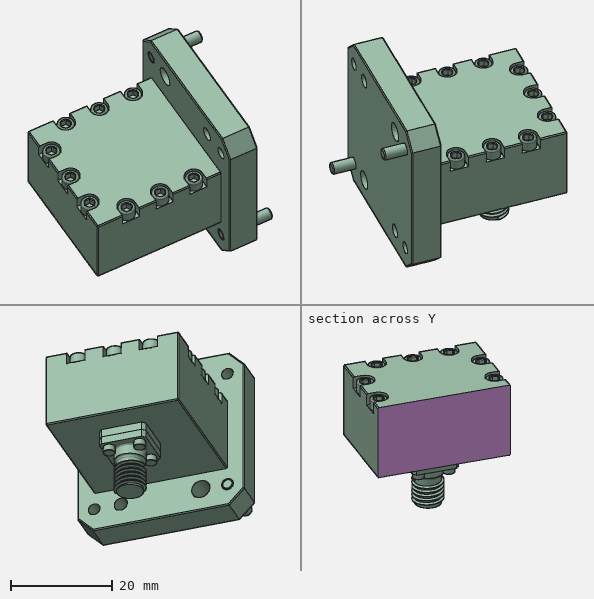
import cadquery as cq
import math


FLANGE_SIZE = 35.0
FLANGE_THICKNESS = 6.33
FLANGE_CORNER = 3.2
EDGE_BREAK = 0.25

HOLE_HEIGHT = 12.7
OUTER_HOLE_X = 13.98
INNER_HOLE_X = 8.4
LARGE_HOLE_DIAMETER = 3.83
MEDIUM_HOLE_DIAMETER = 2.75
PIN_DIAMETER = 2.42

PIN_LENGTH = 11.1
PIN_CHAMFER = 0.25

BLOCK_WIDTH = 27.95
BLOCK_LENGTH = 27.95
BLOCK_TOP = 6.6
BLOCK_BOTTOM = -9.1

SLOT_WIDTH = 3.83
SLOT_DEPTH = 2.5
SLOT_INSET = 1.8
SCREW_SPACING = 7.6
SIDE_ROW_CENTRE = 12.73
CAP_DIAMETER = 3.45
CAP_RECESS = 0.3
CAP_FILLET = 0.25
HEX_ACROSS_FLATS = 1.87
HEX_DEPTH = 1.55
SOCKET_MOUTH_DIAMETER = 2.25

CONNECTOR_Y = -17.57
PLATE_SIZE = 9.7
PLATE_CHAMFER = 0.65
PAD_HEIGHT = 1.68
PLATE_THICKNESS = 1.6
COLLAR_DIAMETER = 6.4
COLLAR_LENGTH = 2.23
COLLAR_ROOT_FILLET = 0.2
BARREL_DIAMETER = 5.4
CONNECTOR_BOTTOM = -21.48

THREAD_DIAMETER = COLLAR_DIAMETER
THREAD_PITCH = 0.918
THREAD_TURNS = 5.5
THREAD_END_GAP = 0.35
THREAD_ROOT_WIDTH = 0.7
THREAD_CREST_WIDTH = 0.1
THREAD_EMBED = 0.1

PLATE_SCREW_OFFSET = 3.2
PLATE_SCREW_DIAMETER = 2.4
PLATE_SCREW_HEIGHT = 1.4
PLATE_SCREW_CHAMFER = 0.08

PLATE_TOP = BLOCK_BOTTOM - PAD_HEIGHT
PLATE_BOTTOM = PLATE_TOP - PLATE_THICKNESS


def y_cylinder(x, z, diameter, length):
    """Cylinder running in +Y from the flange's front face."""
    return (
        cq.Workplane("XZ", origin=(x, 0, z))
        .circle(diameter / 2)
        .extrude(-length)
    )


def z_cylinder(x, y, diameter, bottom, top):
    return (
        cq.Workplane("XY", origin=(x, y, bottom))
        .circle(diameter / 2)
        .extrude(top - bottom)
    )


def make_flange():
    flange = (
        cq.Workplane("XZ")
        .rect(FLANGE_SIZE, FLANGE_SIZE)
        .extrude(-FLANGE_THICKNESS)
        .edges("|Y").chamfer(FLANGE_CORNER)
        .faces("<Y or >Y").chamfer(EDGE_BREAK)
    )
    for side in (1, -1):
        holes = [
            (-OUTER_HOLE_X, PIN_DIAMETER),
            (-INNER_HOLE_X, LARGE_HOLE_DIAMETER),
            (INNER_HOLE_X, MEDIUM_HOLE_DIAMETER),
            (OUTER_HOLE_X, PIN_DIAMETER),
        ]
        for x, diameter in holes:
            flange = flange.cut(y_cylinder(side * x, side * HOLE_HEIGHT, diameter, FLANGE_THICKNESS))
    return flange


def make_block():
    return (
        cq.Workplane("XY", origin=(0, -BLOCK_LENGTH / 2, BLOCK_BOTTOM))
        .box(BLOCK_WIDTH, BLOCK_LENGTH, BLOCK_TOP - BLOCK_BOTTOM, centered=(True, True, False))
        .edges("not >Y").chamfer(EDGE_BREAK)
    )


def cap_screw_places():
    """(x, y, turn) of each cap screw, with turn pointing its slot at the nearest block edge."""
    side_x = BLOCK_WIDTH / 2 - SLOT_INSET
    front_y = SLOT_INSET - BLOCK_LENGTH
    places = []
    for step in (-1, 0, 1):
        shift = step * SCREW_SPACING
        places.append((side_x, shift - SIDE_ROW_CENTRE, 0))
        places.append((-side_x, shift - SIDE_ROW_CENTRE, 180))
        places.append((shift, front_y, -90))
    return places


def make_screw_slot():
    """U-shaped slot tool, round about the Z axis and open towards +X."""
    floor = BLOCK_TOP - SLOT_DEPTH
    open_side = (
        cq.Workplane("XY", origin=(0, 0, floor))
        .box(2 * SLOT_INSET, SLOT_WIDTH, SLOT_DEPTH, centered=(False, True, False))
    )
    return z_cylinder(0, 0, SLOT_WIDTH, floor, BLOCK_TOP).union(open_side)


def make_cap_screw():
    """Socket head standing on the slot floor, with a conical mouth leading into its hexagon."""
    top = BLOCK_TOP - CAP_RECESS
    head = z_cylinder(0, 0, CAP_DIAMETER, BLOCK_TOP - SLOT_DEPTH, top).faces(">Z").edges().fillet(CAP_FILLET)
    socket = (
        cq.Workplane("XY", origin=(0, 0, top))
        .polygon(6, HEX_ACROSS_FLATS / math.cos(math.pi / 6))
        .extrude(-HEX_DEPTH)
        .rotate((0, 0, 0), (0, 0, 1), 90)
    )
    mouth_radius = SOCKET_MOUTH_DIAMETER / 2
    mouth = cq.Workplane(cq.Solid.makeCone(mouth_radius, 0, mouth_radius, (0, 0, top), (0, 0, -1)))
    return head.cut(socket).cut(mouth)


def make_plate(bottom, top):
    """Square plate with chamfered corners, shared by the housing pad and the connector."""
    return (
        cq.Workplane("XY", origin=(0, CONNECTOR_Y, bottom))
        .rect(PLATE_SIZE, PLATE_SIZE)
        .extrude(top - bottom)
        .edges("|Z").chamfer(PLATE_CHAMFER)
    )


def make_housing():
    housing = make_flange().union(make_block()).union(make_plate(PLATE_TOP, BLOCK_BOTTOM))
    slot = make_screw_slot()
    screw = make_cap_screw()
    for x, y, turn in cap_screw_places():
        housing = housing.cut(slot.rotate((0, 0, 0), (0, 0, 1), turn).translate((x, y, 0)))
        housing = housing.union(screw.translate((x, y, 0)))
    return housing


def make_pin(side):
    return (
        y_cylinder(-side * OUTER_HOLE_X, side * HOLE_HEIGHT, PIN_DIAMETER, PIN_LENGTH)
        .edges("%CIRCLE").chamfer(PIN_CHAMFER)
    )


def make_thread():
    """Right-hand ridge about the Z axis that ends on the -X side just above the barrel's end."""
    height = THREAD_TURNS * THREAD_PITCH
    inner = BARREL_DIAMETER / 2 - THREAD_EMBED
    outer = THREAD_DIAMETER / 2
    path = cq.Workplane(cq.Wire.makeHelix(THREAD_PITCH, height, BARREL_DIAMETER / 2))
    ridge = (
        cq.Workplane("XZ")
        .moveTo(inner, -THREAD_ROOT_WIDTH / 2)
        .lineTo(outer, -THREAD_CREST_WIDTH / 2)
        .lineTo(outer, THREAD_CREST_WIDTH / 2)
        .lineTo(inner, THREAD_ROOT_WIDTH / 2)
        .close()
        .sweep(path, isFrenet=True)
    )
    return ridge.rotate((0, 0, 0), (0, 0, 1), 180).translate((0, 0, CONNECTOR_BOTTOM + THREAD_END_GAP))


def make_connector():
    """Plate, collar with a filleted root, concave shoulder and threaded barrel in one piece."""
    collar_bottom = PLATE_BOTTOM - COLLAR_LENGTH
    collar_radius = COLLAR_DIAMETER / 2
    barrel_radius = BARREL_DIAMETER / 2
    shoulder = collar_radius - barrel_radius
    core = (
        cq.Workplane("XZ")
        .moveTo(0, PLATE_BOTTOM)
        .lineTo(collar_radius + COLLAR_ROOT_FILLET, PLATE_BOTTOM)
        .radiusArc((collar_radius, PLATE_BOTTOM - COLLAR_ROOT_FILLET), -COLLAR_ROOT_FILLET)
        .lineTo(collar_radius, collar_bottom)
        .radiusArc((barrel_radius, collar_bottom - shoulder), -shoulder)
        .lineTo(barrel_radius, CONNECTOR_BOTTOM)
        .lineTo(0, CONNECTOR_BOTTOM)
        .close()
        .revolve(360, (0, 0, 0), (0, 1, 0))
    )
    barrel = core.union(make_thread()).translate((0, CONNECTOR_Y, 0))
    return make_plate(PLATE_BOTTOM, PLATE_TOP).union(barrel)


def make_plate_screw(x_side, y_side):
    return (
        z_cylinder(
            x_side * PLATE_SCREW_OFFSET,
            CONNECTOR_Y + y_side * PLATE_SCREW_OFFSET,
            PLATE_SCREW_DIAMETER,
            PLATE_BOTTOM - PLATE_SCREW_HEIGHT,
            PLATE_BOTTOM,
        )
        .faces("<Z or >Z").edges().chamfer(PLATE_SCREW_CHAMFER)
    )


housing = make_housing()
pins = [make_pin(side) for side in (1, -1)]
connector = make_connector()
plate_screws = [make_plate_screw(x_side, y_side) for x_side in (1, -1) for y_side in (1, -1)]

bodies = [housing, *pins, connector, *plate_screws]
result = cq.Compound.makeCompound([body.val() for body in bodies])